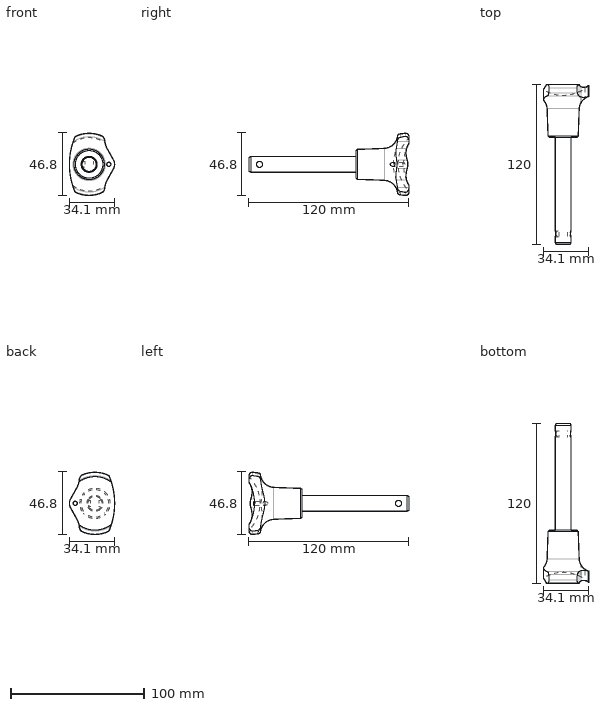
import cadquery as cq
import math

length = 120.0

head_radius = 23.4
head_taper = 0.5
rim_back_round = 2.6
rim_front_round = 2.2
rim_depth = 8.8
flare_middle = (14.9, -11.9)
neck_radius = 12.1
neck_depth = 18.2
collar_radius = 11.4
collar_depth = 39.8
collar_chamfer = 1.1
shaft_radius = 6.0
tip_chamfer_length = 1.5
tip_chamfer_width = 0.7

handle_left = -14.9
left_arc_radius = 52.5
nose_tip = 19.2
nose_radius = 6.5
nose_angle = math.radians(29)
waist_z = 11.9
shoulder_start = (11.9, 17.3)
shoulder_end = (10.3, 20.8)
clear_height = 26.4

dish_sphere_radius = 28.2
dish_rim_radius = 20.0
lanyard_hole_diameter = 3.0
lanyard_hole_x = 14.8
ball_diameter = 4.5
ball_depth = 112.1
ball_recess = 0.5


def point_on_circle(center, radius, angle):
    """Point on a circle at the given angle in degrees."""
    turn = math.radians(angle)
    return (center[0] + radius * math.cos(turn), center[1] + radius * math.sin(turn))


def make_head():
    """Revolved head with rounded rim, flared neck and tapered collar."""
    front_radius = head_radius - head_taper
    back_center = (head_radius - rim_back_round, -rim_back_round)
    front_center = (front_radius - rim_front_round, rim_front_round - rim_depth)
    return (
        cq.Workplane("XY")
        .lineTo(back_center[0], 0)
        .threePointArc(point_on_circle(back_center, rim_back_round, 45), (head_radius, back_center[1]))
        .lineTo(front_radius, front_center[1])
        .threePointArc(point_on_circle(front_center, rim_front_round, -45), (front_center[0], -rim_depth))
        .threePointArc(flare_middle, (neck_radius, -neck_depth))
        .lineTo(collar_radius, collar_chamfer - collar_depth)
        .lineTo(collar_radius - collar_chamfer, -collar_depth)
        .lineTo(0, -collar_depth)
        .close()
        .revolve(360, (0, 0, 0), (0, 1, 0))
    )


def make_handle_outline():
    """Prism whose bowed left side and pointed nose trim the round head."""
    sagitta = left_arc_radius - math.sqrt(left_arc_radius**2 - clear_height**2)
    left_end = handle_left + sagitta
    left_middle_angle = 180 - math.degrees(math.asin(clear_height / left_arc_radius)) / 2
    nose_x = nose_tip - nose_radius * (1 - math.cos(nose_angle))
    nose_z = nose_radius * math.sin(nose_angle)
    waist_x = nose_x - (waist_z - nose_z) * math.tan(nose_angle)
    left_middle = point_on_circle((handle_left + left_arc_radius, 0), left_arc_radius, left_middle_angle)
    nose_middle = point_on_circle((nose_tip - nose_radius, 0), nose_radius, math.degrees(nose_angle) / 2)
    upper_half = (
        cq.Workplane("XZ")
        .moveTo(handle_left, 0)
        .lineTo(nose_tip, 0)
        .threePointArc(nose_middle, (nose_x, nose_z))
        .lineTo(waist_x, waist_z)
        .tangentArcPoint(shoulder_start, relative=False)
        .tangentArcPoint(shoulder_end, relative=False)
        .lineTo(shoulder_end[0], clear_height)
        .lineTo(left_end, clear_height)
        .threePointArc(left_middle, (handle_left, 0))
        .close()
        .extrude(length)
    )
    return upper_half.union(upper_half.mirror("XY")).clean()


def make_dish():
    """Sphere that hollows the back of the head."""
    center_y = math.sqrt(dish_sphere_radius**2 - dish_rim_radius**2)
    return cq.Workplane("XY").sphere(dish_sphere_radius).translate((0, center_y, 0))


def make_lanyard_hole():
    return (
        cq.Workplane("XZ")
        .center(lanyard_hole_x, 0)
        .circle(lanyard_hole_diameter / 2)
        .extrude(neck_depth)
    )


def make_shaft():
    """Pin shaft with a chamfered tip, starting inside the collar."""
    return (
        cq.Workplane("XZ", origin=(0, -neck_depth, 0))
        .circle(shaft_radius)
        .extrude(length - neck_depth)
        .faces("<Y")
        .chamfer(tip_chamfer_length, tip_chamfer_width)
    )


def make_ball_pocket():
    """Cutter for a round pocket in the -X flank that leaves a recessed ball dome at its bottom."""
    ball_radius = ball_diameter / 2
    apex_x = -shaft_radius + ball_recess
    ball_center = (apex_x + ball_radius, 0)
    mouth_x = -2 * shaft_radius
    return (
        cq.Workplane("XY", origin=(0, -ball_depth, 0))
        .moveTo(ball_center[0], ball_radius)
        .lineTo(mouth_x, ball_radius)
        .lineTo(mouth_x, 0)
        .lineTo(apex_x, 0)
        .threePointArc(point_on_circle(ball_center, ball_radius, 135), (ball_center[0], ball_radius))
        .close()
        .revolve(360, (0, 0, 0), (1, 0, 0))
    )


head = make_head().intersect(make_handle_outline()).cut(make_dish()).cut(make_lanyard_hole())
ball_pocket = make_ball_pocket()
shaft = make_shaft().cut(ball_pocket).cut(ball_pocket.mirror("YZ"))
result = head.union(shaft)